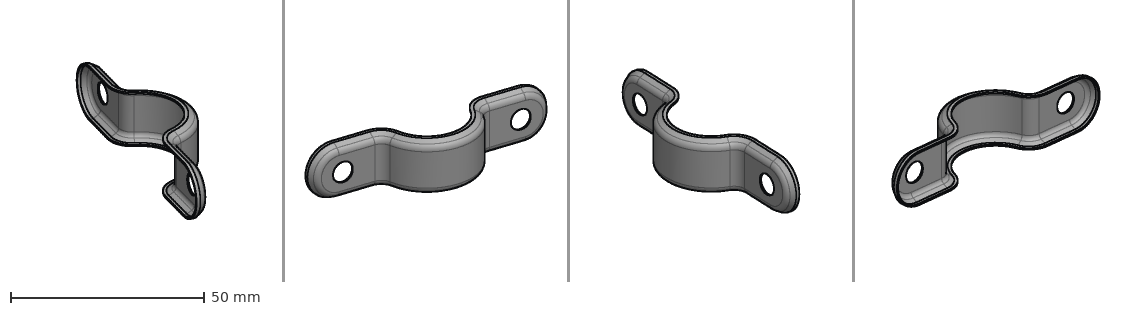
import cadquery as cq
import math

length = 72.5
width = 15.95
height = 16.0

channel_depth = 3.55
sheet = 0.5
corner_radius = 2.0
flat_half_width = 5.4
wall_draft = math.radians(30)

bend_start_x = 17.4
bend_radius = 6.9
hole_spacing = 53.95
hole_diameter = 6.0

half_width = width / 2
end_center_x = length / 2 - half_width
corner_center_y = channel_depth - corner_radius

arch_rim_top = height - channel_depth
rim_span = arch_rim_top + bend_radius
arch_center_y = (rim_span**2 - bend_start_x**2 - bend_radius**2) / (2 * (rim_span - bend_radius))
arch_radius = arch_rim_top - arch_center_y

joint_angle = math.atan2(bend_radius - arch_center_y, bend_start_x)
joint_x = arch_radius * math.cos(joint_angle)
joint_y = arch_center_y + arch_radius * math.sin(joint_angle)


def skin(inset):
    """Rim, draft start, corner start, corner middle and corner end of a skin, as (z, y) points."""
    radius = corner_radius - inset

    def on_corner(angle):
        return (
            flat_half_width + radius * math.cos(angle),
            corner_center_y + radius * math.sin(angle),
        )

    wall_z = half_width - inset
    corner_start = on_corner(wall_draft)
    draft_start_y = corner_start[1] - (wall_z - corner_start[0]) / math.tan(wall_draft)
    corner_middle = on_corner((wall_draft + math.pi / 2) / 2)
    corner_end = (flat_half_width, channel_depth - inset)
    return (wall_z, 0), (wall_z, draft_start_y), corner_start, corner_middle, corner_end


def section_plane(x):
    """Plane across the strap at x, with its local x along Z and its local y along Y."""
    return cq.Plane(origin=(x, 0, 0), xDir=(0, 0, 1), normal=(-1, 0, 0))


def half_section(plane):
    """Half of the channel section, from the middle of the web to the rim at +Z."""
    outer_rim, outer_draft, outer_start, outer_middle, outer_end = skin(0)
    inner_rim, inner_draft, inner_start, inner_middle, inner_end = skin(sheet)
    return (
        cq.Workplane(plane)
        .moveTo(*outer_rim)
        .lineTo(*outer_draft)
        .lineTo(*outer_start)
        .threePointArc(outer_middle, outer_end)
        .lineTo(0, channel_depth)
        .lineTo(0, channel_depth - sheet)
        .lineTo(*inner_end)
        .threePointArc(inner_middle, inner_start)
        .lineTo(*inner_draft)
        .lineTo(*inner_rim)
        .close()
    )


def swept_half():
    """Upper half of the strap between the centers of its rounded ends."""
    path = (
        cq.Workplane("XY")
        .moveTo(-end_center_x, 0)
        .lineTo(-bend_start_x, 0)
        .tangentArcPoint((-joint_x, joint_y), relative=False)
        .threePointArc((0, arch_rim_top), (joint_x, joint_y))
        .tangentArcPoint((bend_start_x, 0), relative=False)
        .lineTo(end_center_x, 0)
    )
    return half_section(section_plane(-end_center_x)).sweep(path)


def rounded_end():
    """Half-round end of the right foot."""
    return half_section(section_plane(end_center_x)).revolve(180, (0, 0), (0, 1))


def mounting_holes():
    """Screw hole cutters through the two feet."""
    return (
        cq.Workplane("XZ")
        .pushPoints([(-hole_spacing / 2, 0), (hole_spacing / 2, 0)])
        .circle(hole_diameter / 2)
        .extrude(-2 * channel_depth)
    )


upper_half = swept_half()
right_end = rounded_end()
strap = (
    upper_half
    .union(upper_half.mirror("XY"))
    .union(right_end)
    .union(right_end.mirror("YZ"))
)
result = strap.cut(mounting_holes())